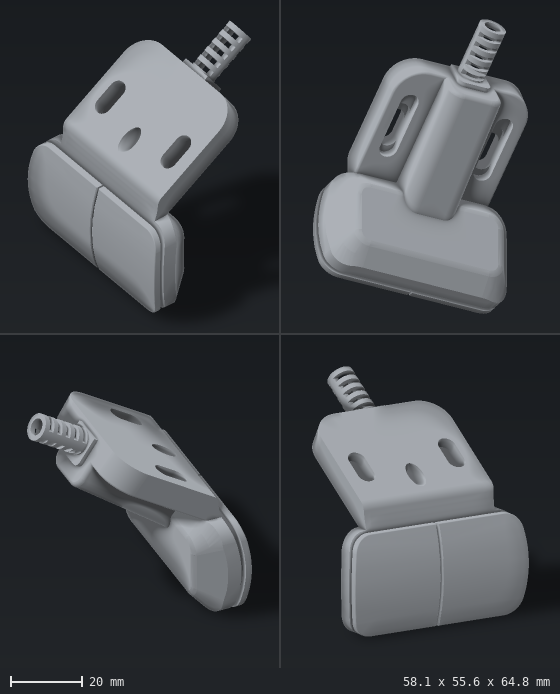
import cadquery as cq
import math


TILT = math.radians(34)
HANDLE_TOP_Y = 35.77
HANDLE_TOP_Z = 56.33
ALONG = cq.Vector(0, math.cos(TILT), math.sin(TILT))
OUTWARD = cq.Vector(0, -math.sin(TILT), math.cos(TILT))
HANDLE_ORIGIN = cq.Vector(0, HANDLE_TOP_Y, HANDLE_TOP_Z)
FACE_PLANE = cq.Plane(HANDLE_ORIGIN, xDir=(1, 0, 0), normal=OUTWARD)
SIDE_PLANE = cq.Plane(HANDLE_ORIGIN, xDir=ALONG, normal=(1, 0, 0))
END_PLANE = cq.Plane(HANDLE_ORIGIN, xDir=(-1, 0, 0), normal=-ALONG)
UPPER_END = cq.selectors.DirectionMinMaxSelector(ALONG, True)
UNDERSIDE = cq.selectors.DirectionMinMaxSelector(OUTWARD, False)

SLAB_WIDTH = 43.5
SLAB_LENGTH = 44.0
SLAB_THICKNESS = 8.1
SLAB_CORNER_RADIUS = 8.5
SLAB_DRAFT = math.radians(4)
SLAB_EDGE_RADIUS = 0.6

BOSS_WIDTH = 16.5
BOSS_END_DEPTH = 17.0
BOSS_LENGTH = 42.0
BOSS_SLOPE = math.radians(4.4)
BOSS_EDGE_RADIUS = 4.0
BOSS_END_RADIUS = 1.2

KEY_HALF_WIDTH = 29.04
KEY_HEIGHT = 29.7
KEY_THICKNESS = 1.9
KEY_FACE_RADIUS = 45.6
KEY_GAP = 0.6
MID_Z = KEY_HEIGHT / 2
SIDE_ARC_RADIUS = 50.0
OUTLINE_CORNER_RADIUS = 5.9
KEY_EDGE_RADIUS = 0.3

PAD_RIGHT_X = -2.6
PAD_INSET = 2.1
PAD_CORNER_RADIUS = 3.5

HEAD_HALF_WIDTH = 29.0
HEAD_HEIGHT = 29.9
HEAD_FRONT_Y = 3.25
HEAD_BACK_Y = 15.7
HEAD_BACK_HALF_WIDTH = 23.0
HEAD_BACK_BOTTOM_Z = 5.6
HEAD_BACK_CORNER_RADIUS = 4.0
HEAD_BACK_EDGE_RADIUS = 2.6
FLARE_FRONT_Y = 2.0
FLARE_SIDE_SLOPE = 0.72
FLARE_END_SLOPE = 1.2
FLARE_FRONT_CORNER_RADIUS = 14.0

NECK_FRONT_Y = 7.0
NECK_HOLLOW_RADIUS = 15.0
BEND_RADIUS = 3.25
BODY_SPAN = 100.0

COVER_THICKNESS = 1.5
COVER_MARGIN = 2.2
COVER_TAB_WIDTH = 8.0

SLOT_X = 15.0
SLOT_WIDTH = 5.4
SLOT_LENGTH = 11.2
SLOT_TOP = -15.1
SLOT_STEP_DEPTH = 3.5
SLOT_STEP_TOP = -12.4
SLOT_RELIEF_DEPTH = 5.0
SLOT_RELIEF_TOP = -7.8
SLOT_RELIEF_BOTTOM = -28.3

SCREW_Z = 41.5
SCREW_HEAD_DIAMETER = 5.0
SCREW_HEAD_END_Y = 22.0
SCREW_DIAMETER = 2.6
SCREW_END_Y = 25.0
SCREW_TIP_DIAMETER = 1.9
SCREW_TIP_END_Y = 27.0

BOOT_DIAMETER = 8.0
BOOT_BORE = 5.0
BOOT_LENGTH = 17.5
BOOT_AXIS_DEPTH = 5.55
FLANGE_SIZE = 10.0
FLANGE_THICKNESS = 1.4
FLANGE_CORNER_RADIUS = 2.0
FLANGE_TOP_DEPTH = BOOT_AXIS_DEPTH - BOOT_DIAMETER / 2
GROOVE_COUNT = 5
GROOVE_PITCH = 3.1
GROOVE_WIDTH = 1.55
GROOVE_FIRST = 1.9
SPINE_HALF_THICKNESS = 1.4


def rounded_outline(half_width, height, y_start, depth, inset=0.0):
    """Prism along Y with bowed sides, straight top and bottom and rounded corners."""
    bow = SIDE_ARC_RADIUS - math.sqrt(SIDE_ARC_RADIUS**2 - (height / 2) ** 2)
    side_x = half_width - inset
    corner_x = side_x - bow
    bottom = inset
    top = height - inset
    return (
        cq.Workplane("XZ", origin=(0, y_start, 0))
        .moveTo(-corner_x, bottom)
        .lineTo(corner_x, bottom)
        .threePointArc((side_x, height / 2), (corner_x, top))
        .lineTo(-corner_x, top)
        .threePointArc((-side_x, height / 2), (-corner_x, bottom))
        .close()
        .extrude(-depth)
        .edges("|Y")
        .fillet(OUTLINE_CORNER_RADIUS - inset)
    )


def cylinder_wall(front_y, radius):
    """Cylinder along X whose foremost line lies at front_y and mid height."""
    return (
        cq.Workplane("YZ", origin=(-BODY_SPAN / 2, 0, 0))
        .center(front_y + radius, MID_Z)
        .circle(radius)
        .extrude(BODY_SPAN)
    )


def region_behind_front(depth):
    """Everything behind the front surface of head, neck and handle, set back by depth."""
    radius = KEY_FACE_RADIUS - HEAD_FRONT_Y - depth
    neck_y = NECK_FRONT_Y + depth
    hollow_radius = NECK_HOLLOW_RADIUS + depth
    hollow_center_y = neck_y - hollow_radius
    hollow_angle = math.acos((KEY_FACE_RADIUS - hollow_center_y) / (radius + hollow_radius))
    hollow_center_z = MID_Z + (radius + hollow_radius) * math.sin(hollow_angle)
    head_end_y = KEY_FACE_RADIUS - radius * math.cos(hollow_angle)
    head_end_rise = radius * math.sin(hollow_angle)
    face_z = HANDLE_TOP_Z - depth / math.cos(TILT)
    bend_z = face_z - (HANDLE_TOP_Y - neck_y) * math.tan(TILT)
    bend_radius = BEND_RADIUS - depth
    turn = math.pi / 2 - TILT
    tangent = bend_radius * math.tan(turn / 2)
    bend_center_y = neck_y + bend_radius
    bend_start_z = bend_z - tangent
    mid_angle = turn / 2
    far_y = HANDLE_TOP_Y + SLAB_LENGTH
    return (
        cq.Workplane("YZ", origin=(-BODY_SPAN / 2, 0, 0))
        .moveTo(head_end_y, MID_Z - head_end_rise)
        .threePointArc((KEY_FACE_RADIUS - radius, MID_Z), (head_end_y, MID_Z + head_end_rise))
        .threePointArc(
            (
                hollow_center_y + hollow_radius * math.cos(hollow_angle / 2),
                hollow_center_z - hollow_radius * math.sin(hollow_angle / 2),
            ),
            (neck_y, hollow_center_z),
        )
        .lineTo(neck_y, bend_start_z)
        .threePointArc(
            (
                bend_center_y - bend_radius * math.cos(mid_angle),
                bend_start_z + bend_radius * math.sin(mid_angle),
            ),
            (neck_y + tangent * math.cos(TILT), bend_z + tangent * math.sin(TILT)),
        )
        .lineTo(far_y, face_z + (far_y - HANDLE_TOP_Y) * math.tan(TILT))
        .lineTo(far_y, MID_Z - head_end_rise)
        .close()
        .extrude(BODY_SPAN)
    )


def handle_plan(width, top, corner_radius, depth):
    """Plate under the handle face with its two upper corners rounded."""
    length = SLAB_LENGTH + top
    return (
        cq.Workplane(FACE_PLANE)
        .center(0, top - length / 2)
        .rect(width, length)
        .extrude(-depth)
        .faces(UPPER_END)
        .edges("not |X")
        .fillet(corner_radius)
    )


def make_slab():
    """Handle slab, narrower toward its underside."""
    lower_half = SLAB_WIDTH / 2 - SLAB_THICKNESS * math.tan(SLAB_DRAFT)
    return (
        cq.Workplane(END_PLANE)
        .polyline(
            [
                (-SLAB_WIDTH / 2, 0),
                (SLAB_WIDTH / 2, 0),
                (lower_half, SLAB_THICKNESS),
                (-lower_half, SLAB_THICKNESS),
            ]
        )
        .close()
        .extrude(SLAB_LENGTH)
        .faces(UPPER_END)
        .edges("not |X")
        .fillet(SLAB_CORNER_RADIUS)
        .faces(UNDERSIDE)
        .edges()
        .fillet(SLAB_EDGE_RADIUS)
    )


def make_boss():
    """Cable boss that deepens toward the head."""
    foot_depth = BOSS_END_DEPTH + BOSS_LENGTH * math.tan(BOSS_SLOPE)
    top_depth = SLAB_THICKNESS / 2
    return (
        cq.Workplane(SIDE_PLANE)
        .polyline(
            [
                (0, -top_depth),
                (0, -BOSS_END_DEPTH),
                (-BOSS_LENGTH, -foot_depth),
                (-BOSS_LENGTH, -top_depth),
            ]
        )
        .close()
        .extrude(BOSS_WIDTH / 2, both=True)
        .faces(UNDERSIDE)
        .edges("not |X")
        .fillet(BOSS_EDGE_RADIUS)
        .faces(UPPER_END)
        .edges()
        .fillet(BOSS_END_RADIUS)
    )


def make_head():
    """Upright head whose back flares out from a smaller flat face."""
    flare_depth = HEAD_BACK_Y - FLARE_FRONT_Y
    back_height = HEAD_HEIGHT - 2 * HEAD_BACK_BOTTOM_Z
    back_width = 2 * HEAD_BACK_HALF_WIDTH
    front_width = back_width + 2 * flare_depth * FLARE_SIDE_SLOPE
    front_height = back_height + 2 * flare_depth * FLARE_END_SLOPE
    back_sketch = cq.Sketch().rect(back_width, back_height).vertices().fillet(HEAD_BACK_CORNER_RADIUS)
    front_sketch = cq.Sketch().rect(front_width, front_height).vertices().fillet(FLARE_FRONT_CORNER_RADIUS)
    flare = (
        cq.Workplane("XZ", origin=(0, HEAD_BACK_Y, HEAD_HEIGHT / 2))
        .placeSketch(back_sketch, front_sketch.moved(cq.Location(cq.Vector(0, 0, flare_depth))))
        .loft()
        .faces(">Y")
        .edges()
        .fillet(HEAD_BACK_EDGE_RADIUS)
    )
    return rounded_outline(HEAD_HALF_WIDTH, HEAD_HEIGHT, 0, HEAD_BACK_Y).intersect(flare)


def make_cover():
    """Thin cover set flush into the front of handle, neck and head."""
    layer = region_behind_front(0).cut(region_behind_front(COVER_THICKNESS))
    handle_part = handle_plan(
        SLAB_WIDTH - 2 * COVER_MARGIN, -COVER_MARGIN, SLAB_CORNER_RADIUS - COVER_MARGIN, SLAB_THICKNESS
    )
    tab = (
        cq.Workplane(FACE_PLANE)
        .rect(COVER_TAB_WIDTH, 2 * SLAB_CORNER_RADIUS)
        .extrude(-COVER_THICKNESS)
        .intersect(make_slab())
    )
    head_part = rounded_outline(HEAD_HALF_WIDTH, HEAD_HEIGHT, 0, HEAD_BACK_Y, COVER_MARGIN)
    return layer.intersect(handle_part.union(head_part).union(tab))


def slot_prism(bottom, top, start_depth, end_depth):
    """Pair of round-ended slots, mirrored in X, between two depths under the handle face."""
    return (
        cq.Workplane(FACE_PLANE)
        .workplane(offset=-start_depth)
        .pushPoints([(-SLOT_X, (bottom + top) / 2), (SLOT_X, (bottom + top) / 2)])
        .slot2D(top - bottom, SLOT_WIDTH, 90)
        .extrude(start_depth - end_depth)
    )


def make_mounting_slots():
    """Through slots that lengthen in two steps toward the underside."""
    bottom = SLOT_TOP - SLOT_LENGTH
    through = slot_prism(bottom, SLOT_TOP, 0, SLAB_THICKNESS)
    step = slot_prism(bottom, SLOT_STEP_TOP, SLOT_STEP_DEPTH, SLAB_THICKNESS)
    relief = slot_prism(SLOT_RELIEF_BOTTOM, SLOT_RELIEF_TOP, SLOT_RELIEF_DEPTH, SLAB_THICKNESS)
    return through.union(step).union(relief)


def make_screw_hole():
    """Stepped blind hole for a screw."""
    hole = cq.Workplane("XZ", origin=(0, 0, SCREW_Z))
    head = hole.circle(SCREW_HEAD_DIAMETER / 2).extrude(-SCREW_HEAD_END_Y)
    shank = hole.circle(SCREW_DIAMETER / 2).extrude(-SCREW_END_Y)
    tip = hole.circle(SCREW_TIP_DIAMETER / 2).extrude(-SCREW_TIP_END_Y)
    return head.union(shank).union(tip)


def make_key(side):
    """Curved key; side is -1 for the left one and 1 for the right one."""
    width = KEY_HALF_WIDTH
    blank = rounded_outline(KEY_HALF_WIDTH, KEY_HEIGHT, 0, HEAD_BACK_Y)
    half = cq.Workplane("XY").box(width, HEAD_BACK_Y * 2, KEY_HEIGHT * 2).translate(
        (side * (width + KEY_GAP) / 2, 0, KEY_HEIGHT / 2)
    )
    shell = cylinder_wall(0, KEY_FACE_RADIUS).cut(cylinder_wall(KEY_THICKNESS, KEY_FACE_RADIUS))
    return blank.intersect(half).intersect(shell).faces("<Y").edges().fillet(KEY_EDGE_RADIUS)


def make_pad():
    """Pad that fills the gap between the left key and the head."""
    outline = rounded_outline(KEY_HALF_WIDTH, KEY_HEIGHT, 0, NECK_FRONT_Y, PAD_INSET)
    limit = (
        cq.Workplane("XY")
        .box(KEY_HALF_WIDTH, HEAD_BACK_Y * 2, KEY_HEIGHT - 2 * PAD_INSET)
        .edges("|Y and >X")
        .fillet(PAD_CORNER_RADIUS)
        .translate((PAD_RIGHT_X - KEY_HALF_WIDTH / 2, 0, KEY_HEIGHT / 2))
    )
    behind_key = cylinder_wall(KEY_THICKNESS, KEY_FACE_RADIUS)
    return outline.intersect(limit).intersect(behind_key).cut(region_behind_front(0))


def make_boot():
    """Ribbed cable boot with a square flange resting on the upper end of the handle."""
    end = cq.Workplane(END_PLANE)
    flange = (
        end.center(0, FLANGE_TOP_DEPTH + FLANGE_SIZE / 2)
        .rect(FLANGE_SIZE, FLANGE_SIZE)
        .extrude(-FLANGE_THICKNESS)
        .edges(cq.selectors.ParallelDirSelector(ALONG))
        .edges(UNDERSIDE)
        .fillet(FLANGE_CORNER_RADIUS)
    )
    tube = end.center(0, BOOT_AXIS_DEPTH).circle(BOOT_DIAMETER / 2).extrude(-BOOT_LENGTH)
    boot = flange.union(tube)
    groove_height = BOOT_DIAMETER / 2
    for index in range(GROOVE_COUNT):
        middle = GROOVE_FIRST + index * GROOVE_PITCH + GROOVE_WIDTH / 2
        for side in (-1, 1):
            center_depth = BOOT_AXIS_DEPTH + side * (SPINE_HALF_THICKNESS + groove_height / 2)
            groove = (
                cq.Workplane(SIDE_PLANE)
                .center(middle, -center_depth)
                .rect(GROOVE_WIDTH, groove_height)
                .extrude(BOOT_DIAMETER, both=True)
            )
            boot = boot.cut(groove)
    bore = end.center(0, BOOT_AXIS_DEPTH).circle(BOOT_BORE / 2).extrude(-BOOT_LENGTH)
    return boot.cut(bore)


def make_housing(cover_body):
    """Slab, boss and head in one piece, with a recess for the cover."""
    body = make_slab().union(make_boss()).union(make_head())
    return body.intersect(region_behind_front(0)).cut(cover_body)


openings = make_mounting_slots().union(make_screw_hole())
cover_blank = make_cover()
housing = make_housing(cover_blank).cut(openings)
cover = cover_blank.cut(openings)
left_key = make_key(-1)
right_key = make_key(1)
pad = make_pad()
boot = make_boot()

result = cq.Compound.makeCompound(
    [
        housing.val(),
        cover.val(),
        left_key.val(),
        right_key.val(),
        pad.val(),
        boot.val(),
    ]
)